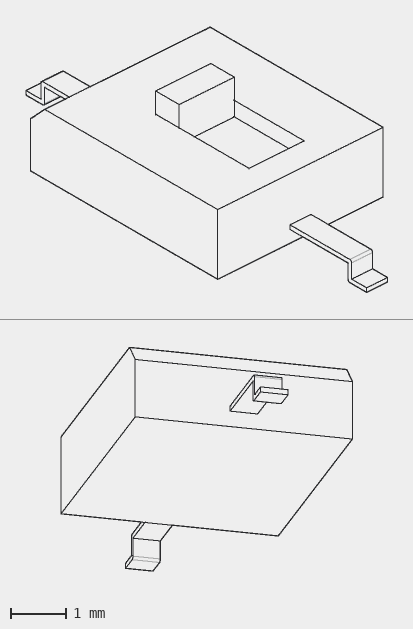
import cadquery as cq

overall_length = 9.11

housing_length = 5.01
housing_width = 4.1
housing_height = 1.5
housing_chamfer = 0.38

lead_thickness = 0.1
lead_width = 0.52
lead_height = 0.5
foot_length = 0.4
bend_radius = lead_thickness / 2

slider_length = 0.63
slider_width = 1.37
slider_projection = 0.5
pocket_length = 2.5
pocket_depth = 0.355

housing_bottom = lead_thickness
housing_top = housing_bottom + housing_height
pocket_floor = housing_top - pocket_depth
pocket_start = -slider_length


def floor_block(length, height):
    """Block that rises from the pocket floor, starting at the -X end of the pocket."""
    return cq.Workplane("XY").box(length, slider_width, height, centered=(False, True, False)).translate(
        (pocket_start, 0, pocket_floor)
    )


def make_housing():
    """Block with its -X top edge chamfered and a pocket in its top face."""
    block = cq.Workplane("XY", origin=(0, 0, housing_bottom)).box(
        housing_length, housing_width, housing_height, centered=(True, True, False)
    )
    chamfered = block.faces(">Z").edges("<X").chamfer(housing_chamfer)
    return chamfered.cut(floor_block(pocket_length, pocket_depth))


def make_slider():
    """Actuator standing on the pocket floor and projecting above the housing."""
    return floor_block(slider_length, pocket_depth + slider_projection)


def make_lead():
    """Lead on the -X side: foot, riser and arm, with rounded outer bends."""
    tip = -overall_length / 2
    riser_outside = tip + foot_length
    riser_inside = riser_outside + lead_thickness
    arm_end = -housing_length / 2
    arm_bottom = lead_height - lead_thickness
    profile = (
        cq.Workplane("XZ")
        .moveTo(tip, 0)
        .lineTo(riser_inside - bend_radius, 0)
        .radiusArc((riser_inside, bend_radius), -bend_radius)
        .lineTo(riser_inside, arm_bottom)
        .lineTo(arm_end, arm_bottom)
        .lineTo(arm_end, lead_height)
        .lineTo(riser_outside + bend_radius, lead_height)
        .radiusArc((riser_outside, lead_height - bend_radius), -bend_radius)
        .lineTo(riser_outside, lead_thickness)
        .lineTo(tip, lead_thickness)
        .close()
    )
    return profile.extrude(lead_width / 2, both=True)


housing = make_housing()
slider = make_slider()
leads = [make_lead().rotate((0, 0, 0), (0, 0, 1), angle) for angle in (0, 180)]

result = cq.Compound.makeCompound([housing.val(), slider.val(), *[lead.val() for lead in leads]])